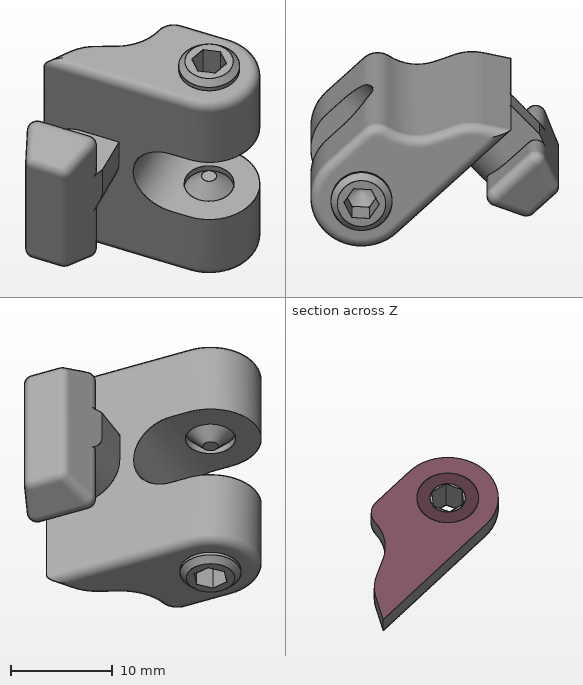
import cadquery as cq
import math

HOUSING_LENGTH = 20.5
HOUSING_DEPTH = 10.0
HOUSING_HEIGHT = 24.0
EDGE_FILLET = 1.0
NOSE_RADIUS = HOUSING_DEPTH / 2
NOSE_X = HOUSING_LENGTH - NOSE_RADIUS

LOWER_SLOPE = 55.5
MIDDLE_SLOPE = 23.5
UPPER_SLOPE = 77.5
MIDDLE_RUN = 2.08
FLANK_RADIUS = 5.0
SHOULDER_RADIUS = 2.0

SLOT_WIDTH = 8.0
SLOT_END_X = 9.5

STEM_WIDTH = 8.0
STEM_HEIGHT = 7.0
STEM_LENGTH = 4.0
STEM_CORNER_RADIUS = STEM_WIDTH / 2
NUT_X = STEM_WIDTH / 2
HEAD_WIDTH = 8.07
HEAD_HEIGHT = 17.0
HEAD_DEPTH = 5.0
HEAD_TAPER = 20

SCREW_DIAMETER = 6.0
SCREW_LENGTH = 10.0
SCREW_CHAMFER = 0.62
TIP_DIAMETER = 1.48
TOP_PROJECTION = 1.1
BOTTOM_PROJECTION = 0.95
BORE_DIAMETER = 4.92
SOCKET_WIDTH = 3.0
SOCKET_DEPTH = 3.5
SOCKET_ANGLE = 13
SOCKET_CONE_HEIGHT = 1.0


def arc_along(path, start, start_angle, end_angle, radius):
    """Add an arc whose tangent turns from start_angle to end_angle; return the path and the arc's end."""
    turn = 1 if end_angle > start_angle else -1

    def point_at(angle):
        first = math.radians(start_angle)
        last = math.radians(angle)
        return (
            start[0] + turn * radius * (math.sin(last) - math.sin(first)),
            start[1] + turn * radius * (math.cos(first) - math.cos(last)),
        )

    end = point_at(end_angle)
    return path.threePointArc(point_at((start_angle + end_angle) / 2), end), end


def step_along(point, angle, length):
    """Return the point at a distance along a direction."""
    direction = math.radians(angle)
    return (point[0] + length * math.cos(direction), point[1] + length * math.sin(direction))


def make_plate():
    """Plate with a sloped flank and a round nose, rounded along both end faces."""
    lower, middle, upper = (math.radians(a) for a in (LOWER_SLOPE, MIDDLE_SLOPE, UPPER_SLOPE))
    flank_rise = (
        FLANK_RADIUS * (math.cos(middle) - math.cos(lower))
        + MIDDLE_RUN * math.sin(middle)
        + FLANK_RADIUS * (math.cos(middle) - math.cos(upper))
        + SHOULDER_RADIUS * (1 - math.cos(upper))
    )
    lower_run = (HOUSING_DEPTH - flank_rise) / math.sin(lower)

    point = step_along((0, 0), LOWER_SLOPE, lower_run)
    path = cq.Workplane("XY").workplane(offset=-HOUSING_HEIGHT / 2).moveTo(0, 0).lineTo(*point)
    path, point = arc_along(path, point, LOWER_SLOPE, MIDDLE_SLOPE, FLANK_RADIUS)
    point = step_along(point, MIDDLE_SLOPE, MIDDLE_RUN)
    path = path.lineTo(*point)
    path, point = arc_along(path, point, MIDDLE_SLOPE, UPPER_SLOPE, FLANK_RADIUS)
    path, point = arc_along(path, point, UPPER_SLOPE, 0, SHOULDER_RADIUS)
    path = path.lineTo(NOSE_X, HOUSING_DEPTH)
    path = path.threePointArc((HOUSING_LENGTH, NOSE_RADIUS), (NOSE_X, 0)).close()
    return path.extrude(HOUSING_HEIGHT).faces("<Z or >Z").edges().fillet(EDGE_FILLET)


def make_slot():
    """Round-ended cutter through the full depth, open to the right."""
    centre_x = SLOT_END_X + SLOT_WIDTH / 2
    return (
        cq.Workplane("XZ")
        .moveTo(HOUSING_LENGTH, -SLOT_WIDTH / 2)
        .lineTo(centre_x, -SLOT_WIDTH / 2)
        .threePointArc((SLOT_END_X, 0), (centre_x, SLOT_WIDTH / 2))
        .lineTo(HOUSING_LENGTH, SLOT_WIDTH / 2)
        .close()
        .extrude(-HOUSING_DEPTH)
    )


def make_stem(length):
    """Stem from the front face, rounded on its upper left and lower right corners."""
    half_width = STEM_WIDTH / 2
    top = STEM_HEIGHT / 2
    arc_side = STEM_CORNER_RADIUS * math.sqrt(0.5)
    outline = (
        cq.Workplane("XZ")
        .center(NUT_X, 0)
        .moveTo(0, top)
        .lineTo(half_width, top)
        .lineTo(half_width, STEM_CORNER_RADIUS - top)
        .threePointArc((arc_side, STEM_CORNER_RADIUS - top - arc_side), (0, -top))
        .lineTo(-half_width, -top)
        .lineTo(-half_width, top - STEM_CORNER_RADIUS)
        .threePointArc((-arc_side, top - STEM_CORNER_RADIUS + arc_side), (0, top))
        .close()
    )
    return outline.extrude(length)


def make_slot_nut():
    """Stem and rounded head; the stem runs into the head up to its tapered sides."""
    head = (
        cq.Workplane("XZ", origin=(NUT_X, -STEM_LENGTH, 0))
        .rect(HEAD_WIDTH, HEAD_HEIGHT)
        .extrude(HEAD_DEPTH, taper=HEAD_TAPER)
    )
    rounded_head = head.edges().fillet(EDGE_FILLET)
    stem_in_head = make_stem(STEM_LENGTH + HEAD_DEPTH / 2).intersect(head)
    return make_stem(STEM_LENGTH).union(stem_in_head).union(rounded_head)


def make_screw():
    """Set screw on the Z axis with its socket face on Z = 0 and its point downward."""
    radius = SCREW_DIAMETER / 2
    tip_radius = TIP_DIAMETER / 2
    point_height = radius - tip_radius
    body = (
        cq.Workplane("XZ")
        .polyline([
            (0, 0),
            (radius - SCREW_CHAMFER, 0),
            (radius, -SCREW_CHAMFER),
            (radius, point_height - SCREW_LENGTH),
            (tip_radius, -SCREW_LENGTH),
            (0, -SCREW_LENGTH),
        ])
        .close()
        .revolve(360, (0, 0), (0, 1))
    )
    socket_corner_radius = SOCKET_WIDTH / math.sqrt(3)
    socket = (
        cq.Workplane("XY")
        .transformed(rotate=(0, 0, SOCKET_ANGLE))
        .polygon(6, 2 * socket_corner_radius)
        .extrude(-SOCKET_DEPTH)
    )
    cone = cq.Workplane(cq.Solid.makeCone(
        socket_corner_radius, 0, SOCKET_CONE_HEIGHT, cq.Vector(0, 0, -SOCKET_DEPTH), cq.Vector(0, 0, -1)
    ))
    return body.cut(socket).cut(cone)


def place_at_ends(make_shape):
    """Put one copy of a downward shape at each end of the nose axis, pointing into the housing."""
    placed = []
    for projection, flip in ((TOP_PROJECTION, 0), (BOTTOM_PROJECTION, 180)):
        shape = make_shape().translate((0, 0, HOUSING_HEIGHT / 2 + projection))
        shape = shape.rotate((0, 0, 0), (1, 0, 0), flip)
        placed.append(shape.translate((NOSE_X, NOSE_RADIUS, 0)))
    return placed


def make_screw_bore():
    """Stepped cutter: full diameter until the screw point narrows to the small bore, which runs on."""
    wide_depth = SCREW_LENGTH - (BORE_DIAMETER - TIP_DIAMETER) / 2
    wide_bore = cq.Workplane("XY").circle(SCREW_DIAMETER / 2).extrude(-wide_depth)
    return wide_bore.union(cq.Workplane("XY").circle(BORE_DIAMETER / 2).extrude(-SCREW_LENGTH))


def make_housing():
    """Plate and slot nut in one piece, with the slot and both screw bores cut out."""
    body = make_plate().cut(make_slot())
    for bore in place_at_ends(make_screw_bore):
        body = body.cut(bore)
    return body.union(make_slot_nut())


housing = make_housing()
set_screws = place_at_ends(make_screw)
result = cq.Compound.makeCompound([
    housing.solids().val(),
    *(screw.solids().val() for screw in set_screws),
])